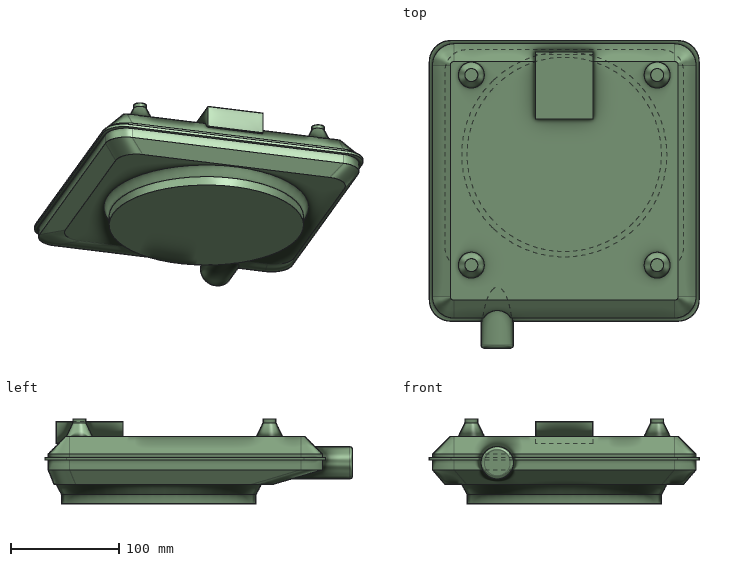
import cadquery as cq

COLLAR_TOP = 8.5
PAN_BOTTOM = 18.0
BODY_BOTTOM = 31.5
FLANGE_BOTTOM = 40.5
FLANGE_THICKNESS = 2.5
SHOULDER = 46.0
COVER_TOP = 62.5
BLOCK_TOP = 76.0
FOOT_TOP = 78.5

FLANGE_X = 250.0
FLANGE_Y = 260.0
FLANGE_OVERHANG = 3.0
BODY_X = FLANGE_X - 2 * FLANGE_OVERHANG
BODY_Y = FLANGE_Y - 2 * FLANGE_OVERHANG
CORNER_RADIUS = 20.0
COVER_SLOPE_ANGLE = 45.0

PAN_INSET_X = 11.5
PAN_INSET_BACK = 5.5
PAN_INSET_FRONT = 45.5
PAN_X = BODY_X - 2 * PAN_INSET_X
PAN_Y = BODY_Y - PAN_INSET_BACK - PAN_INSET_FRONT
PAN_CENTER_Y = (PAN_INSET_FRONT - PAN_INSET_BACK) / 2

COLLAR_RADIUS = 90.0
COLLAR_CONE_RADIUS = 95.0
COLLAR_CENTER_Y = 24.5

PIPE_RADIUS = 15.0
PIPE_X = -62.0
PIPE_Z = 38.0
PIPE_PROJECTION = 25.0
PIPE_END_FILLET = 3.0
PIPE_END_Y = -FLANGE_Y / 2 - PIPE_PROJECTION
PIPE_ROOT_Y = -BODY_Y / 2 + PAN_INSET_FRONT

BLOCK_X = 53.0
BLOCK_Y = 62.0
BLOCK_HEIGHT = 20.0
BLOCK_BACK_Y = 119.5

FOOT_SPACING_X = 172.0
FOOT_SPACING_Y = 176.0
FOOT_CENTER_Y = 10.0
FOOT_BASE_RADIUS = 12.0
FOOT_TIP_RADIUS = 6.0
FOOT_TIP_HEIGHT = 3.5


def rounded_slab(size_x, size_y, bottom, top):
    """Vertical-walled slab with rounded corners, centred on the Z axis."""
    slab = cq.Workplane("XY", origin=(0, 0, bottom)).rect(size_x, size_y).extrude(top - bottom)
    return slab.edges("|Z").fillet(CORNER_RADIUS)


def make_cover():
    """Sloping cover whose corner radius shrinks towards the flat top."""
    outline = cq.Sketch().rect(BODY_X, BODY_Y).vertices().fillet(CORNER_RADIUS)
    base = cq.Workplane("XY", origin=(0, 0, SHOULDER)).placeSketch(outline)
    return base.extrude(COVER_TOP - SHOULDER, taper=COVER_SLOPE_ANGLE)


def make_pan():
    """Lofted pan that narrows downwards and shifts towards the back."""
    lower = cq.Sketch().rect(PAN_X, PAN_Y).vertices().fillet(CORNER_RADIUS)
    upper = cq.Sketch().rect(BODY_X, BODY_Y).vertices().fillet(CORNER_RADIUS)
    return cq.Workplane("XY").placeSketch(
        lower.moved(cq.Location(cq.Vector(0, PAN_CENTER_Y, PAN_BOTTOM))),
        upper.moved(cq.Location(cq.Vector(0, 0, BODY_BOTTOM))),
    ).loft()


def make_collar():
    """Short cylinder that flares out to meet the underside of the pan."""
    profile = (
        cq.Workplane("XZ")
        .moveTo(0, 0)
        .lineTo(COLLAR_RADIUS, 0)
        .lineTo(COLLAR_RADIUS, COLLAR_TOP)
        .lineTo(COLLAR_CONE_RADIUS, PAN_BOTTOM)
        .lineTo(0, PAN_BOTTOM)
        .close()
    )
    return profile.revolve(360, (0, 0), (0, 1)).translate((0, COLLAR_CENTER_Y, 0))


def make_pipe():
    """Solid pipe stub along -Y with a rounded outer end."""
    start = cq.Workplane("XZ", origin=(PIPE_X, PIPE_ROOT_Y, PIPE_Z))
    pipe = start.circle(PIPE_RADIUS).extrude(PIPE_ROOT_Y - PIPE_END_Y)
    return pipe.faces("<Y").edges().fillet(PIPE_END_FILLET)


def make_block():
    """Plain block set on the cover near the back edge."""
    center = (0, BLOCK_BACK_Y - BLOCK_Y / 2, BLOCK_TOP - BLOCK_HEIGHT / 2)
    return cq.Workplane("XY").box(BLOCK_X, BLOCK_Y, BLOCK_HEIGHT).translate(center)


def make_foot(x, y):
    """Conical foot with a short cylindrical tip."""
    profile = (
        cq.Workplane("XZ")
        .moveTo(0, COVER_TOP)
        .lineTo(FOOT_BASE_RADIUS, COVER_TOP)
        .lineTo(FOOT_TIP_RADIUS, FOOT_TOP - FOOT_TIP_HEIGHT)
        .lineTo(FOOT_TIP_RADIUS, FOOT_TOP)
        .lineTo(0, FOOT_TOP)
        .close()
    )
    return profile.revolve(360, (0, 0), (0, 1)).translate((x, y, 0))


result = rounded_slab(BODY_X, BODY_Y, BODY_BOTTOM, SHOULDER)
result = result.union(rounded_slab(FLANGE_X, FLANGE_Y, FLANGE_BOTTOM, FLANGE_BOTTOM + FLANGE_THICKNESS))
result = result.union(make_cover())
result = result.union(make_pan())
result = result.union(make_collar())
result = result.union(make_pipe())
result = result.union(make_block())
for side_x in (-1, 1):
    for side_y in (-1, 1):
        foot_x = side_x * FOOT_SPACING_X / 2
        foot_y = FOOT_CENTER_Y + side_y * FOOT_SPACING_Y / 2
        result = result.union(make_foot(foot_x, foot_y))